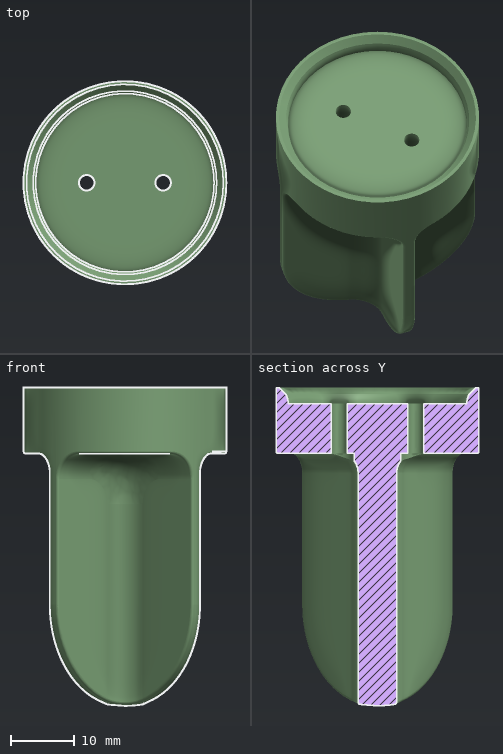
import cadquery as cq
import math

height = 50.5
outer_radius = 32.2 / 2
cap_height = 10.5
underside_z = height - cap_height

fin_thickness = 2.0
blend_radius = 4.0
hole_side_blend_radius = 3.0
edge_radius = 0.4

recess_depth = 2.5
bevel_depth = 1.0
rim_radius = outer_radius - 0.5
bevel_end_radius = 14.55
floor_radius = 14.15

hole_offset = 6.05
hole_diameter = 2.4
spotface_diameter = 4.7

tolerance = 0.005


def make_body():
    """Cylinder with a hemispherical lower end."""
    arc_mid = outer_radius * math.sqrt(0.5)
    profile = (
        cq.Workplane("XZ")
        .threePointArc((arc_mid, outer_radius - arc_mid), (outer_radius, outer_radius))
        .lineTo(outer_radius, height)
        .lineTo(0, height)
        .close()
    )
    return profile.revolve(360, (0, 0, 0), (0, 1, 0))


def make_corner_plug():
    """Cube from the origin to two blend radii, with its corner at the origin smoothly rounded away.

    The rounding meets the three edge blends on the cube's far sides.
    """
    near = blend_radius
    far = 2 * blend_radius
    inset = blend_radius * (1 - math.sqrt(0.5))

    def place(axis, u, v, w=0.0):
        """Point with coordinates u, v, w along three axes, starting at the given axis."""
        coords = [0.0, 0.0, 0.0]
        for step, value in enumerate((u, v, w)):
            coords[(axis + step) % 3] = value
        return cq.Vector(*coords)

    def make_side(arc, points):
        """Flat face bounded by an arc and the straight lines through the points."""
        lines = [cq.Edge.makeLine(start, end) for start, end in zip(points, points[1:])]
        return cq.Face.makeFromWires(cq.Wire.assembleEdges([arc] + lines))

    patch_edges = []
    faces = []
    for axis in range(3):
        wall_start = place(axis, far, near)
        wall_end = place(axis, near, far)
        wall_arc = cq.Edge.makeThreePointArc(
            wall_start, place(axis, near + inset, near + inset), wall_end
        )
        faces.append(make_side(wall_arc, [wall_end, place(axis, far, far), wall_start]))

        end_start = place(axis, far, near, 0)
        end_end = place(axis, far, 0, near)
        end_arc = cq.Edge.makeThreePointArc(end_start, place(axis, far, inset, inset), end_end)
        faces.append(make_side(end_arc, [
            end_end,
            place(axis, far, 0, far),
            place(axis, far, far, far),
            place(axis, far, far, 0),
            end_start,
        ]))
        patch_edges += [end_arc, wall_arc]

    center = blend_radius / 2
    patch_loop = patch_edges[1:] + patch_edges[:1]
    faces.append(cq.Face.makeNSidedSurface(patch_loop, [cq.Vector(center, center, center)]))
    return cq.Workplane(cq.Solid.makeSolid(cq.Shell.makeShell(faces)).fix())


def make_pocket(direction, smooth_corner):
    """Space between two fins: three planes with blended inner edges."""
    pocket = cq.Workplane().box(2 * outer_radius, 2 * outer_radius, 2 * height, centered=False)
    pocket = pocket.edges(cq.selectors.NearestToPointSelector((0, 0, height))).fillet(blend_radius)
    cap_blend_radius = blend_radius if smooth_corner else hole_side_blend_radius
    pocket = pocket.faces("<Z").edges(cq.selectors.BoxSelector(
        (-tolerance, -tolerance, -tolerance),
        (1.5 * outer_radius, 1.5 * outer_radius, tolerance),
    )).fillet(cap_blend_radius)
    if smooth_corner:
        plug_side = 2 * blend_radius
        pocket = pocket.cut(cq.Workplane().box(plug_side, plug_side, plug_side, centered=False))
        pocket = pocket.union(make_corner_plug())
    pocket = pocket.mirror("XY")
    pocket = pocket.translate((fin_thickness / 2, fin_thickness / 2, underside_z))
    return pocket.rotate((0, 0, 0), (0, 0, 1), direction - 45)


def round_outer_edges(part):
    """Round the edges where the pockets break through the outer surface."""
    rounded = []
    for edge in part.edges().vals():
        middle = edge.positionAt(0.5)
        depth_in_dome = min(0, middle.z - outer_radius)
        on_outer_surface = abs(math.hypot(middle.x, middle.y, depth_in_dome) - outer_radius) < tolerance
        below_cap = edge.BoundingBox().zmax < underside_z + tolerance
        if on_outer_surface and below_cap:
            rounded.append(edge)
    return part.newObject(rounded).fillet(edge_radius)


def make_recess():
    """Shallow dish with a wide bevel below the rim and a convex wall, upright at the floor."""
    wall_height = recess_depth - bevel_depth
    wall_width = bevel_end_radius - floor_radius
    wall_radius = (wall_width**2 + wall_height**2) / (2 * wall_width)
    half_sweep = math.asin(wall_height / wall_radius) / 2
    wall_mid = (
        floor_radius + wall_radius * (1 - math.cos(half_sweep)),
        height - recess_depth + wall_radius * math.sin(half_sweep),
    )
    profile = (
        cq.Workplane("XZ")
        .moveTo(0, height - recess_depth)
        .lineTo(floor_radius, height - recess_depth)
        .threePointArc(wall_mid, (bevel_end_radius, height - bevel_depth))
        .lineTo(rim_radius, height)
        .lineTo(0, height)
        .close()
    )
    return profile.revolve(360, (0, 0, 0), (0, 1, 0))


def make_screw_holes():
    """Two through holes, each with a spotface cut through the blend below the cap."""
    centers = [(-hole_offset, 0), (hole_offset, 0)]
    holes = cq.Workplane().pushPoints(centers).circle(hole_diameter / 2).extrude(height)
    spotfaces = cq.Workplane().pushPoints(centers).circle(spotface_diameter / 2).extrude(underside_z)
    return holes.union(spotfaces)


result = make_body()
for pocket_angle in (0, 90, 180, 270):
    on_y_axis = pocket_angle in (90, 270)
    result = result.cut(make_pocket(pocket_angle, on_y_axis))
result = round_outer_edges(result)
result = result.cut(make_recess())
result = result.cut(make_screw_holes())